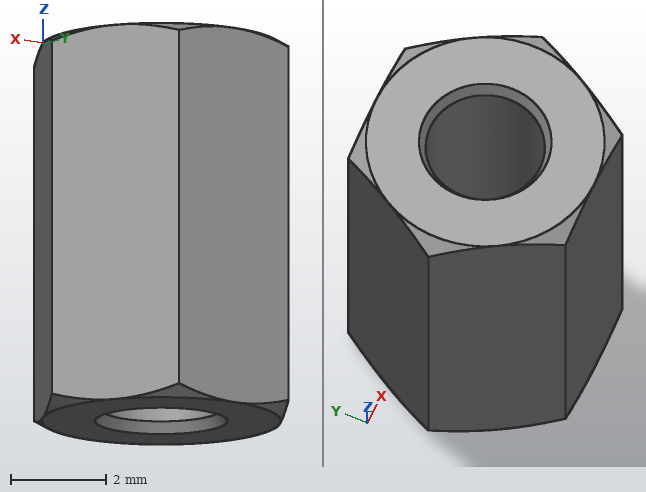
import cadquery as cq
import math

length = 8.0
across_flats = 5.0
bore_diameter = 2.5
countersink_diameter = 2.78
countersink_angle = 60.0
corner_angle = 30.0

across_corners = across_flats / math.cos(math.radians(30))
half_length = length / 2


def revolve_about_z(points):
    """Revolve a closed outline of (radius, height) points about the Z axis."""
    return cq.Workplane("XZ").polyline(points).close().revolve(360, (0, 0), (0, 1))


def hex_body():
    """Prism with two flats facing +Y and -Y and corners on the X axis."""
    return (
        cq.Workplane("XY")
        .polygon(6, across_corners)
        .extrude(half_length, both=True)
    )


def chamfer_envelope():
    """Round envelope whose conical ends trim the hexagon's corners."""
    face_radius = across_flats / 2
    outer_radius = across_corners
    drop = (outer_radius - face_radius) * math.tan(math.radians(corner_angle))
    shoulder = half_length - drop
    return revolve_about_z([
        (0, -half_length),
        (face_radius, -half_length),
        (outer_radius, -shoulder),
        (outer_radius, shoulder),
        (face_radius, half_length),
        (0, half_length),
    ])


def countersunk_bore():
    """Through bore, countersunk at both ends."""
    bore_radius = bore_diameter / 2
    rim_radius = countersink_diameter / 2
    depth = (rim_radius - bore_radius) / math.tan(math.radians(countersink_angle / 2))
    return revolve_about_z([
        (0, -half_length),
        (rim_radius, -half_length),
        (bore_radius, depth - half_length),
        (bore_radius, half_length - depth),
        (rim_radius, half_length),
        (0, half_length),
    ])


result = hex_body().intersect(chamfer_envelope()).cut(countersunk_bore())